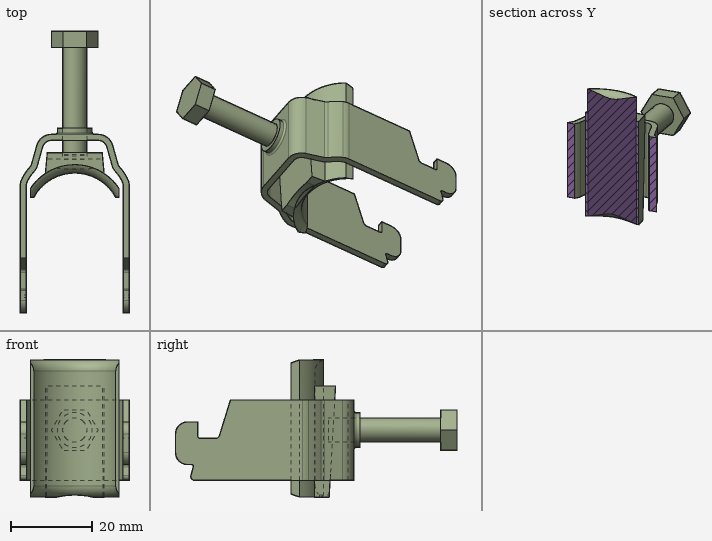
import cadquery as cq
import math


overall_length = 69.5

strip_thickness = 1.5
bracket_width = 27.0
leg_tip_y = -44.05
bracket_top = 7.45
bracket_bottom = -12.45

web_bend_radius = 3.8
shoulder_slope = 15.7
shoulder_length = 4.7
neck_radius = 2.0
neck_slope = 43.0
belly_radius = 11.1
belly_slope = 24.0
leg_bend_radius = 3.7

ramp_top_y = -30.5
notch_start_y = -33.4
notch_end_y = -38.5
notch_floor = -2.0
hook_top = 2.0
hook_bottom = -8.55
foot_root_y = -39.55
foot_tip_y = -40.6
hook_nose_radius = 3.0
notch_ramp_fillet = 1.0
notch_wall_fillet = 0.5
foot_root_fillet = 0.4
foot_tip_radius = 1.0

collar_radius = 4.3
collar_height = 1.5
collar_root_fillet = 0.5

shank_diameter = 6.0
head_across_flats = 10.0
head_thickness = 4.0
head_end_y = overall_length + leg_tip_y
bolt_tip_y = -6.25

saddle_half_width = 11.0
saddle_top = 17.4
saddle_height = 34.0
saddle_bottom = saddle_top - saddle_height
saddle_crest_y = -7.5
saddle_inner_crest_y = -9.6
saddle_outer_radius = 13.15
saddle_inner_radius = 11.55
saddle_end_y = -15.6
rim_radius = 3.0

arch_half_width = 4.6
arch_depth = 0.55

block_top = 10.9
block_top_y = -4.5
block_bottom_y = -6.1
block_back_half_width = 6.8
block_side_slope = 5.0
block_front_y = -12.4


def y_cylinder(radius, y_start, y_end):
    """Cylinder on the bolt axis between two Y positions."""
    return cq.Workplane("XZ", origin=(0, y_start, 0)).circle(radius).extrude(y_start - y_end)


def heading_vector(length, heading):
    """Vector of a given length, with its heading in degrees from +X in the XY plane."""
    angle = math.radians(heading)
    return cq.Vector(length * math.cos(angle), length * math.sin(angle))


def arc_chord(radius, heading, turn):
    """Chord vector of an arc that starts along a heading and turns by a signed angle."""
    length = 2 * radius * math.sin(math.radians(abs(turn) / 2))
    return heading_vector(length, heading + turn / 2)


def strip_outline(end_y):
    """Closed outer outline of the bent strip, with the legs running to end_y."""
    bends = [
        (web_bend_radius, shoulder_slope - 90, shoulder_length),
        (neck_radius, neck_slope - 90, 0),
        (belly_radius, belly_slope - 90, 0),
        (leg_bend_radius, -90, 0),
    ]
    position = cq.Vector(0, 0)
    heading = 0
    path = []
    for radius, end_heading, straight in bends:
        turn = end_heading - heading
        middle = position + arc_chord(radius, heading, turn / 2)
        end = position + arc_chord(radius, heading, turn)
        position = end + heading_vector(straight, end_heading)
        heading = end_heading
        path.append((middle, end, position))

    web_end = cq.Vector(bracket_width / 2 - position.x, 0)
    half = cq.Workplane("XY", origin=(0, 0, bracket_bottom)).lineTo(web_end.x, 0)
    for points in path:
        middle, end, straight_end = [(web_end + point).toTuple()[:2] for point in points]
        half = half.threePointArc(middle, end)
        if straight_end != end:
            half = half.lineTo(*straight_end)
    half = half.lineTo(bracket_width / 2, end_y).lineTo(0, end_y)
    return half.mirrorY()


def leg_silhouette():
    """Side shape that trims the strip, with the hook at the leg tips."""
    blank = (
        cq.Workplane("YZ", origin=(-bracket_width / 2, 0, 0))
        .polyline([
            (0, bracket_top),
            (ramp_top_y, bracket_top),
            (notch_start_y, notch_floor),
            (notch_end_y, notch_floor),
            (notch_end_y, hook_top),
            (leg_tip_y, hook_top),
            (leg_tip_y, hook_bottom),
            (foot_root_y, hook_bottom),
            (foot_tip_y, bracket_bottom),
            (0, bracket_bottom),
        ])
        .close()
        .extrude(bracket_width)
    )
    rounded_corners = [
        (leg_tip_y, hook_top, hook_nose_radius),
        (leg_tip_y, hook_bottom, hook_nose_radius),
        (notch_start_y, notch_floor, notch_ramp_fillet),
        (notch_end_y, notch_floor, notch_wall_fillet),
        (foot_root_y, hook_bottom, foot_root_fillet),
        (foot_tip_y, bracket_bottom, foot_tip_radius),
    ]
    for y, z, radius in rounded_corners:
        corner = cq.selectors.NearestToPointSelector((0, y, z))
        blank = blank.edges("|X").edges(corner).fillet(radius)
    return blank


def make_collar():
    """Collar raised from the web, with a concave flare at its foot."""
    foot_radius = collar_radius + collar_root_fillet
    return (
        cq.Workplane("XY")
        .moveTo(0, -strip_thickness / 2)
        .lineTo(foot_radius, -strip_thickness / 2)
        .lineTo(foot_radius, 0)
        .radiusArc((collar_radius, collar_root_fillet), collar_root_fillet)
        .lineTo(collar_radius, collar_height)
        .lineTo(0, collar_height)
        .close()
        .revolve(360, (0, 0, 0), (0, 1, 0))
    )


def make_bracket():
    """Bent strip with hooked legs and a collared bolt hole."""
    width_z = bracket_top - bracket_bottom
    outer = strip_outline(leg_tip_y).extrude(width_z)
    inner = strip_outline(leg_tip_y - strip_thickness).offset2D(-strip_thickness).extrude(width_z)
    strip = outer.cut(inner).intersect(leg_silhouette())
    hole = y_cylinder(shank_diameter / 2, collar_height, -strip_thickness)
    return strip.union(make_collar()).cut(hole)


def make_bolt():
    """Hexagon head bolt with its head at the +Y end."""
    head_corner_diameter = 2 * head_across_flats / math.sqrt(3)
    head = (
        cq.Workplane("XZ", origin=(0, head_end_y, 0))
        .polygon(6, head_corner_diameter)
        .extrude(head_thickness)
    )
    shank = y_cylinder(shank_diameter / 2, head_end_y - head_thickness, bolt_tip_y)
    return head.union(shank)


def saddle_outer_cylinder():
    """Cylinder along Z over the saddle's height that forms its back."""
    base = cq.Workplane("XY", origin=(0, saddle_crest_y - saddle_outer_radius, saddle_bottom))
    return base.circle(saddle_outer_radius).extrude(saddle_height)


def saddle_bore():
    """Hollow side of the saddle: a cylinder along Z that flares along a quarter arc at each rim."""
    wall = saddle_crest_y - saddle_inner_crest_y
    overrun = rim_radius - math.sqrt(rim_radius**2 - (rim_radius - wall) ** 2)
    low = saddle_bottom - overrun
    high = saddle_top + overrun
    flare_radius = saddle_inner_radius + rim_radius
    return (
        cq.Workplane("XZ", origin=(0, saddle_inner_crest_y - saddle_inner_radius, 0))
        .moveTo(0, low)
        .lineTo(flare_radius, low)
        .radiusArc((saddle_inner_radius, low + rim_radius), rim_radius)
        .lineTo(saddle_inner_radius, high - rim_radius)
        .radiusArc((flare_radius, high), rim_radius)
        .lineTo(0, high)
        .close()
        .revolve(360, (0, 0, 0), (0, 1, 0))
    )


def lower_arch():
    """Cylinder along Y that hollows the bottom of the saddle and the block."""
    radius = (arch_half_width**2 + arch_depth**2) / (2 * arch_depth)
    center_z = saddle_bottom + arch_depth - radius
    return cq.Workplane("XZ", origin=(0, 0, center_z)).circle(radius).extrude(-saddle_end_y)


def make_saddle():
    """Curved shell with rounded inner rims."""
    depth = saddle_crest_y - saddle_end_y
    blank = cq.Workplane("XY").box(
        2 * saddle_half_width, depth, saddle_height, centered=(True, False, False)
    )
    blank = blank.translate((0, saddle_end_y, saddle_bottom))
    shell = blank.intersect(saddle_outer_cylinder())
    return shell.cut(saddle_bore()).cut(lower_arch())


def make_block():
    """Tapered block seated on the saddle's back, with a recess for the bolt tip."""
    taper = math.tan(math.radians(block_side_slope))
    front_half_width = block_back_half_width + taper * (block_top_y - block_front_y)
    plan = (
        cq.Workplane("XY", origin=(0, 0, saddle_bottom))
        .polyline([
            (-block_back_half_width, block_top_y),
            (block_back_half_width, block_top_y),
            (front_half_width, block_front_y),
            (-front_half_width, block_front_y),
        ])
        .close()
        .extrude(block_top - saddle_bottom)
    )
    side = (
        cq.Workplane("YZ", origin=(-front_half_width, 0, 0))
        .polyline([
            (block_top_y, block_top),
            (block_bottom_y, saddle_bottom),
            (block_front_y, saddle_bottom),
            (block_front_y, block_top),
        ])
        .close()
        .extrude(2 * front_half_width)
    )
    block = plan.intersect(side).cut(saddle_outer_cylinder()).cut(lower_arch())
    return block.cut(y_cylinder(shank_diameter / 2, 0, bolt_tip_y))


bracket = make_bracket()
bolt = make_bolt()
saddle = make_saddle()
block = make_block()

result = cq.Compound.makeCompound([bracket.val(), bolt.val(), saddle.val(), block.val()])